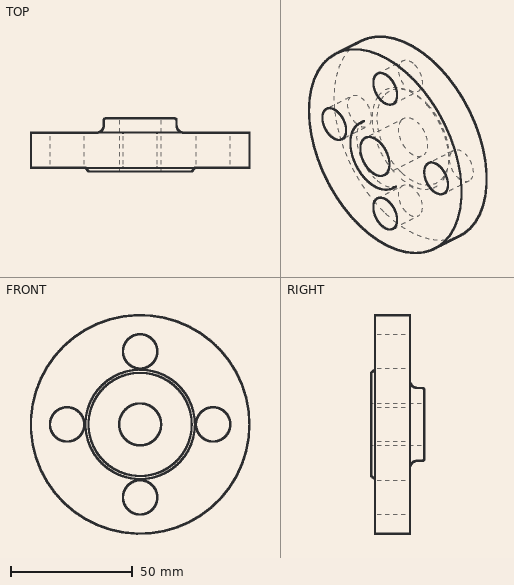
import cadquery as cq

flange_diameter = 90.0
total_length = 22.0

face_height = 1.5
face_base_radius = 22.5
face_front_radius = 21.2

hub_height = 5.9
hub_radius = 15.0
hub_root_radius = 3.0
hub_edge_radius = 1.0

bore_diameter = 17.2
bolt_hole_diameter = 14.0
bolt_circle_diameter = 60.0
bolt_hole_count = 4

flange_back = total_length - hub_height
flange_radius = flange_diameter / 2


def make_body():
    """Revolve the half section (radius along X, length along Y) about the Y axis."""
    section = (
        cq.Workplane("XY")
        .lineTo(face_front_radius, 0)
        .lineTo(face_base_radius, face_height)
        .lineTo(flange_radius, face_height)
        .lineTo(flange_radius, flange_back)
        .lineTo(hub_radius + hub_root_radius, flange_back)
        .radiusArc((hub_radius, flange_back + hub_root_radius), hub_root_radius)
        .lineTo(hub_radius, total_length - hub_edge_radius)
        .radiusArc((hub_radius - hub_edge_radius, total_length), -hub_edge_radius)
        .lineTo(0, total_length)
        .close()
    )
    return section.revolve(360, (0, 0, 0), (0, 1, 0))


def make_holes():
    """Central bore and bolt holes, running the full length along +Y."""
    bore = cq.Workplane("XZ").circle(bore_diameter / 2).extrude(-total_length)
    bolt_holes = (
        cq.Workplane("XZ")
        .polarArray(bolt_circle_diameter / 2, 0, 360, bolt_hole_count)
        .circle(bolt_hole_diameter / 2)
        .extrude(-total_length)
    )
    return bore.union(bolt_holes)


result = make_body().cut(make_holes())